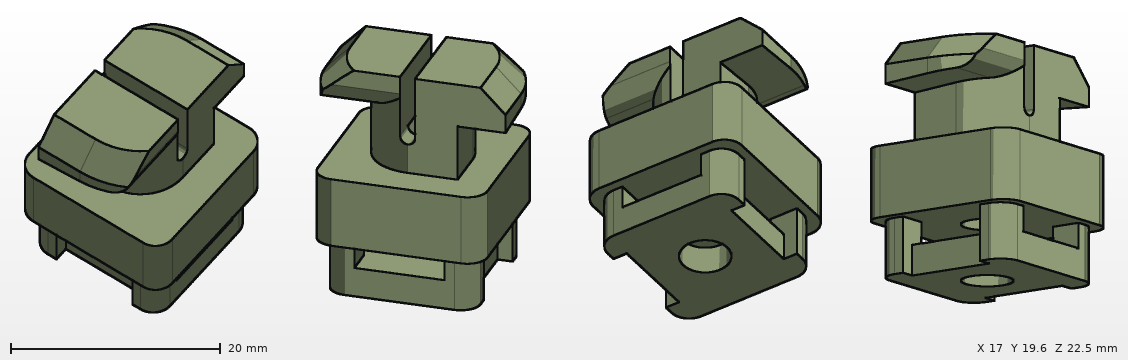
import cadquery as cq
import math

plate_side = 17.0
plate_height = 7.0
corner_radius = 2.0

foot_side = 15.0
foot_height = 5.5
window_width = 9.0
window_sill = 3.0
recess_depth = 1.5

stem_width = 9.85
stem_depth = 10.0
stem_corner_radius = 5.0
stem_height = 10.0

head_reach = 9.8
head_chamfer = 2.5
head_height = 4.4
ramp_angle = math.radians(4.4)
ramp_end_radius = 2.0

slot_width = 1.5
slot_depth = 7.0
bore_diameter = 5.0

plate_top = foot_height + plate_height
part_top = plate_top + stem_height
head_bottom = part_top - head_height
half_width = stem_width / 2
slot_radius = slot_width / 2
slot_center_z = part_top - slot_depth + slot_radius


def rounded_block(side, height, base_z):
    """Square block on the Z axis with rounded vertical edges."""
    block = cq.Workplane("XY").workplane(offset=base_z).rect(side, side).extrude(height)
    return block.edges("|Z").fillet(corner_radius)


def box_on_axis(size_x, size_y, bottom_z, top_z):
    """Box centred on the Z axis between two levels."""
    return cq.Workplane("XY").workplane(offset=bottom_z).rect(size_x, size_y).extrude(top_z - bottom_z)


def make_foot():
    """Foot with crossing windows and a recess below the windows on its two Y sides."""
    foot = rounded_block(foot_side, foot_height, 0)
    foot = foot.cut(box_on_axis(foot_side, window_width, window_sill, foot_height))
    foot = foot.cut(box_on_axis(window_width, foot_side, window_sill, foot_height))
    for side in (-1, 1):
        recess = box_on_axis(window_width, recess_depth, 0, foot_height)
        foot = foot.cut(recess.translate((0, side * (foot_side - recess_depth) / 2, 0)))
    return foot


def make_stem():
    """Post whose +X-Y and -X+Y corners are rounded, so the head can turn in its seat."""
    stem = box_on_axis(stem_width, stem_depth, plate_top, part_top)
    for corner in (">X and <Y", "<X and >Y"):
        stem = stem.edges("|Z").edges(corner).fillet(stem_corner_radius)
    return stem


def lug_section():
    """Half section of the lug in the YZ plane toward -Y, left long at the bottom for the ramp to trim."""
    return (
        cq.Workplane("YZ")
        .moveTo(0, plate_top)
        .lineTo(-head_reach, plate_top)
        .lineTo(-head_reach, part_top - head_chamfer)
        .lineTo(-head_reach + head_chamfer, part_top)
        .lineTo(0, part_top)
        .close()
    )


def ramp_prism():
    """Prism over the -Y half: its underside climbs toward +X and ends in a round."""
    ramp_end_z = head_bottom + stem_width * math.tan(ramp_angle)
    outline = [
        (-half_width, head_bottom),
        (half_width, ramp_end_z),
        (half_width, part_top),
        (-half_width, part_top),
    ]
    prism = cq.Workplane("XZ").polyline(outline).close().extrude(head_reach)
    return prism.faces(">X").edges("<Z").fillet(ramp_end_radius)


def make_lug():
    """Lug on the -Y side: straight for -X, swept round the axis for +X, with a ramp below."""
    straight_half = lug_section().extrude(-half_width)
    swept_half = lug_section().revolve(90, (0, 0, 0), (0, 1, 0))
    return straight_half.union(swept_half).intersect(ramp_prism())


def make_slot():
    """Round-bottomed slot along X, open at the top."""
    groove = cq.Workplane("YZ").center(0, slot_center_z).circle(slot_radius).extrude(half_width, both=True)
    return groove.union(box_on_axis(stem_width, slot_width, slot_center_z, part_top))


def make_bore():
    """Vertical bore from the bottom of the foot into the slot."""
    return cq.Workplane("XY").circle(bore_diameter / 2).extrude(slot_center_z)


lug = make_lug()
opposite_lug = lug.rotate((0, 0, 0), (0, 0, 1), 180)

result = make_foot().union(rounded_block(plate_side, plate_height, foot_height))
result = result.union(make_stem()).union(lug).union(opposite_lug)
result = result.cut(make_slot()).cut(make_bore())